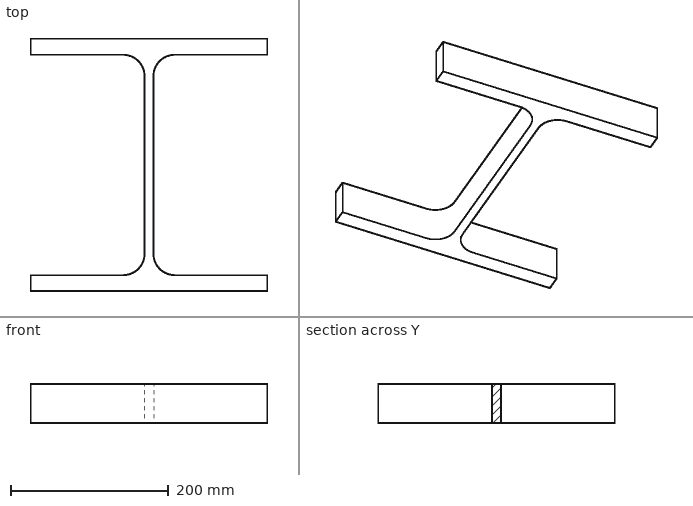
import cadquery as cq

section_depth = 320.0
flange_width = 300.0
flange_thickness = 20.5
web_thickness = 11.5
root_radius = 27.0
cut_length = 50.0

recess_width = (flange_width - web_thickness) / 2
recess_depth = section_depth - 2 * flange_thickness


def side_recess(side):
    """Cutter for one side of the web, rounded where the web meets the flanges."""
    center_x = side * (web_thickness + recess_width) / 2
    web_side_edges = "|Z and <X" if side > 0 else "|Z and >X"
    return (
        cq.Workplane("XY")
        .center(center_x, 0)
        .rect(recess_width, recess_depth)
        .extrude(cut_length)
        .edges(web_side_edges)
        .fillet(root_radius)
    )


result = cq.Workplane("XY").rect(flange_width, section_depth).extrude(cut_length)
for side in (-1, 1):
    result = result.cut(side_recess(side))